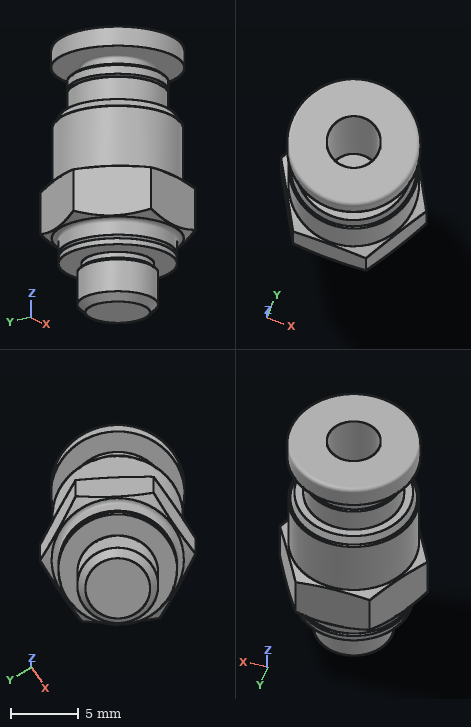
import cadquery as cq
import math


stud_radius = 3.0
stud_tip_radius = 2.4
stud_tip_height = 0.6
stud_shoulder_z = 3.1
neck_radius = 2.7
stud_neck_z = 3.35

seat_radius = 4.4
seat_bottom_z = 3.8
seat_groove_bottom_z = 4.27
seat_groove_top_z = 4.55
seat_groove_depth = 0.25
seat_fillet = 0.3

hex_across_flats = 10.0
hex_bottom_z = 5.8
hex_top_z = 9.8
hex_bottom_face_radius = 4.9
hex_top_face_radius = 4.85
hex_bottom_bevel_angle = 30.0
hex_top_bevel_angle = 15.0

body_radius = 4.85
body_top_z = 14.5
cone_base_radius = 4.7
cone_base_z = 14.6
cone_top_radius = 4.4
cone_top_z = 15.2

sleeve_radius = 3.75
sleeve_top_z = 18.3
sleeve_chamfer_width = 0.25
sleeve_chamfer_height = 0.2
sleeve_groove_bottom_z = 17.17
sleeve_groove_top_z = 17.42
sleeve_groove_depth = 0.22

button_radius = 4.95
button_bottom_z = 19.2
button_top_z = 20.8
button_fillet = 0.3
button_neck_fillet = 0.2

socket_radius = 2.0
socket_depth = 10.0


def fillet_offset(radius):
    """Offset of a quarter arc's midpoint from each of the two lines it joins."""
    return radius * (1 - math.sqrt(0.5))


def make_turned_body():
    seat_arc = fillet_offset(seat_fillet)
    button_arc = fillet_offset(button_fillet)
    neck_arc = fillet_offset(button_neck_fillet)
    sleeve_groove_z = (sleeve_groove_bottom_z + sleeve_groove_top_z) / 2

    profile = (
        cq.Workplane("XZ")
        .moveTo(0, 0)
        .lineTo(stud_tip_radius, 0)
        .lineTo(stud_radius, stud_tip_height)
        .lineTo(stud_radius, stud_shoulder_z)
        .lineTo(neck_radius, stud_neck_z)
        .lineTo(neck_radius, seat_bottom_z)
        .lineTo(seat_radius, seat_bottom_z)
        .lineTo(seat_radius, seat_groove_bottom_z)
        .lineTo(seat_radius - seat_groove_depth, seat_groove_bottom_z)
        .lineTo(seat_radius, seat_groove_top_z)
        .lineTo(seat_radius, hex_bottom_z - seat_fillet)
        .threePointArc(
            (seat_radius + seat_arc, hex_bottom_z - seat_arc),
            (seat_radius + seat_fillet, hex_bottom_z),
        )
        .lineTo(body_radius, hex_bottom_z)
        .lineTo(body_radius, body_top_z)
        .lineTo(cone_base_radius, cone_base_z)
        .lineTo(cone_top_radius, cone_top_z)
        .lineTo(sleeve_radius, cone_top_z)
        .lineTo(sleeve_radius, sleeve_groove_bottom_z)
        .lineTo(sleeve_radius - sleeve_groove_depth, sleeve_groove_z)
        .lineTo(sleeve_radius, sleeve_groove_top_z)
        .lineTo(sleeve_radius, sleeve_top_z - sleeve_chamfer_height)
        .lineTo(sleeve_radius - sleeve_chamfer_width, sleeve_top_z)
        .lineTo(neck_radius, sleeve_top_z)
        .lineTo(neck_radius, button_bottom_z - button_neck_fillet)
        .threePointArc(
            (neck_radius + neck_arc, button_bottom_z - neck_arc),
            (neck_radius + button_neck_fillet, button_bottom_z),
        )
        .lineTo(button_radius, button_bottom_z)
        .lineTo(button_radius, button_top_z - button_fillet)
        .threePointArc(
            (button_radius - button_arc, button_top_z - button_arc),
            (button_radius - button_fillet, button_top_z),
        )
        .lineTo(0, button_top_z)
        .close()
    )
    return profile.revolve(360, (0, 0, 0), (0, 1, 0))


def make_hex_collar():
    corner_radius = hex_across_flats / math.sqrt(3)
    bottom_bevel = (corner_radius - hex_bottom_face_radius) * math.tan(math.radians(hex_bottom_bevel_angle))
    top_bevel = (corner_radius - hex_top_face_radius) * math.tan(math.radians(hex_top_bevel_angle))
    prism = (
        cq.Workplane("XY", origin=(0, 0, hex_bottom_z))
        .polygon(6, 2 * corner_radius)
        .extrude(hex_top_z - hex_bottom_z)
    )
    envelope = (
        cq.Workplane("XZ")
        .moveTo(0, hex_bottom_z)
        .lineTo(hex_bottom_face_radius, hex_bottom_z)
        .lineTo(corner_radius, hex_bottom_z + bottom_bevel)
        .lineTo(corner_radius, hex_top_z - top_bevel)
        .lineTo(hex_top_face_radius, hex_top_z)
        .lineTo(0, hex_top_z)
        .close()
        .revolve(360, (0, 0, 0), (0, 1, 0))
    )
    return prism.intersect(envelope)


def make_socket():
    return (
        cq.Workplane("XY", origin=(0, 0, button_top_z - socket_depth))
        .circle(socket_radius)
        .extrude(socket_depth)
    )


result = make_turned_body().union(make_hex_collar()).cut(make_socket())